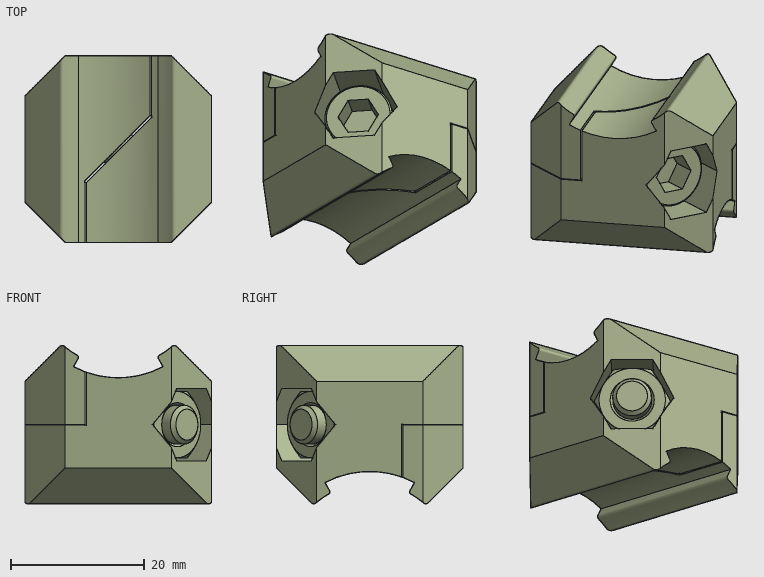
import cadquery as cq
import math

WIDTH = 28.0
HEIGHT = 23.75
HALF_WIDTH = WIDTH / 2
HALF_HEIGHT = HEIGHT / 2
CORNER_CHAMFER = 6.05

LIP_RADIUS = 12.5
GROOVE_RADIUS = 14.25
FLOOR_HEIGHT = 7.03
AXIS_HEIGHT = FLOOR_HEIGHT + GROOVE_RADIUS
LIP_ANGLE = 27.7
GROOVE_ANGLE = 28.0
LIP_FILLET = 0.4
CREST_RADIUS = 0.5

GAP = 0.35
LEDGE_GAP = 0.1
KNEE = 4.87

POCKET_FLATS = 10.85
POCKET_FLOOR = 5.32
BOLT_RADIUS = 2.9
TIP_DISTANCE = 14.55
TIP_CHAMFER = 0.6
HEAD_RADIUS = 5.1
HEAD_DISTANCE = 11.3
HEAD_CHAMFER = 0.28
SOCKET_FLATS = 5.3
SOCKET_DEPTH = 3.95
NUT_FLATS = 9.95
NUT_DISTANCE = 12.52
NUT_BORE_CHAMFER = 0.4

OVERCUT = 0.55


def hex_diameter(flats):
    """Corner-to-corner size of a hexagon given across its flats."""
    return flats / math.cos(math.pi / 6)


def on_bolt_axis(distance):
    """Plane square to the bolt axis; its normal points to the +X -Y corner."""
    reach = distance / math.sqrt(2)
    return cq.Plane(origin=(reach, -reach, 0), xDir=(1, 1, 0), normal=(1, -1, 0))


def arc_point(radius, degrees):
    """Point on a circle about the rod axis, at an angle from straight down."""
    angle = math.radians(degrees)
    return (radius * math.sin(angle), AXIS_HEIGHT - radius * math.cos(angle))


def channel_side():
    """Full-width body along Y with the channel and rounded crests of the top side."""
    crest_z = HALF_HEIGHT - CREST_RADIUS
    crest_x = math.sqrt((LIP_RADIUS + CREST_RADIUS) ** 2 - (AXIS_HEIGHT - crest_z) ** 2)
    crest_angle = math.degrees(math.asin(crest_x / (LIP_RADIUS + CREST_RADIUS)))
    flank_offset = CREST_RADIUS / math.sqrt(2)
    flank_top = (crest_x + flank_offset, crest_z + flank_offset)
    flank_foot = (HALF_WIDTH, sum(flank_top) - HALF_WIDTH)

    half_body = (
        cq.Workplane("XZ", origin=(0, HALF_WIDTH, 0))
        .moveTo(0, -HALF_HEIGHT)
        .lineTo(HALF_WIDTH, -HALF_HEIGHT)
        .lineTo(*flank_foot)
        .lineTo(*flank_top)
        .threePointArc((crest_x, HALF_HEIGHT), arc_point(LIP_RADIUS, crest_angle))
        .threePointArc(
            arc_point(LIP_RADIUS, (crest_angle + LIP_ANGLE) / 2),
            arc_point(LIP_RADIUS, LIP_ANGLE),
        )
        .lineTo(*arc_point(GROOVE_RADIUS, GROOVE_ANGLE))
        .threePointArc(arc_point(GROOVE_RADIUS, GROOVE_ANGLE / 2), (0, FLOOR_HEIGHT))
        .close()
        .extrude(WIDTH)
    )
    lip_x, lip_z = arc_point(LIP_RADIUS, LIP_ANGLE)
    lip_edge = cq.selectors.NearestToPointSelector((lip_x, 0, lip_z))
    half_body = half_body.edges(lip_edge).fillet(LIP_FILLET)
    return half_body.union(half_body.mirror("YZ"))


def swap_sides(body):
    """Half turn about the diagonal X = Y, which takes the top side underneath."""
    return body.rotate((0, 0, 0), (1, 1, 0), 180)


def clamp_block():
    """Eight-sided block with both channels, before it is parted."""
    top = channel_side()
    octagon = (
        cq.Workplane("XY").box(WIDTH, WIDTH, HEIGHT).edges("|Z").chamfer(CORNER_CHAMFER)
    )
    return octagon.intersect(top).intersect(swap_sides(top))


def upright_gap():
    """Gap above the middle plane: diagonal, with both ends turned along Y."""
    reach = HALF_WIDTH + OVERCUT
    shift = GAP / 2 / math.sqrt(2)
    path = [(-KNEE, -reach), (-KNEE, -KNEE), (KNEE, KNEE), (KNEE, reach)]
    near_side = [(x - shift, y + shift) for x, y in path]
    far_side = [(x + shift, y - shift) for x, y in reversed(path)]
    return (
        cq.Workplane("XY", origin=(0, 0, -LEDGE_GAP / 2))
        .polyline(near_side + far_side)
        .close()
        .extrude(HALF_HEIGHT + LEDGE_GAP)
    )


def ledge_gap():
    """Level gap in the two corners where the halves overlap each other."""
    size = HALF_WIDTH + OVERCUT - KNEE
    middle = KNEE + size / 2
    return (
        cq.Workplane("XY")
        .pushPoints([(middle, middle), (-middle, -middle)])
        .box(size, size, LEDGE_GAP)
    )


def clamp_half():
    """Half on the -X +Y side, with its hexagonal pocket and the bolt bore."""
    gap = upright_gap()
    parted = clamp_block().cut(gap).cut(swap_sides(gap)).cut(ledge_gap())
    half = parted.solids("<(1, -1, 0)")
    pocket = (
        cq.Workplane(on_bolt_axis(-POCKET_FLOOR))
        .polygon(6, hex_diameter(POCKET_FLATS))
        .extrude(-WIDTH)
    )
    bore = cq.Workplane(on_bolt_axis(0)).circle(BOLT_RADIUS).extrude(WIDTH, both=True)
    return half.cut(pocket).cut(bore)


def make_bolt():
    """Socket-head bolt, seated on the head-side pocket floor."""
    head = (
        cq.Workplane(on_bolt_axis(-HEAD_DISTANCE))
        .circle(HEAD_RADIUS)
        .extrude(HEAD_DISTANCE - POCKET_FLOOR)
        .faces("<(1, -1, 0)")
        .chamfer(HEAD_CHAMFER)
    )
    shank = (
        cq.Workplane(on_bolt_axis(-POCKET_FLOOR))
        .circle(BOLT_RADIUS)
        .extrude(POCKET_FLOOR + TIP_DISTANCE)
        .faces(">(1, -1, 0)")
        .chamfer(TIP_CHAMFER)
    )
    socket = (
        cq.Workplane(on_bolt_axis(-HEAD_DISTANCE))
        .polygon(6, hex_diameter(SOCKET_FLATS))
        .extrude(SOCKET_DEPTH)
    )
    return head.union(shank).cut(socket)


def make_nut():
    """Hexagon nut, seated on the opposite pocket floor."""
    height = NUT_DISTANCE - POCKET_FLOOR
    seat = on_bolt_axis(POCKET_FLOOR)
    corner_radius = hex_diameter(NUT_FLATS) / 2
    corner_chamfer = corner_radius - NUT_FLATS / 2
    turned = (
        cq.Workplane(seat)
        .circle(corner_radius)
        .extrude(height)
        .faces(">(1, -1, 0)")
        .chamfer(corner_chamfer)
    )
    bore = cq.Workplane(seat).circle(BOLT_RADIUS).extrude(height)
    bore_mouth = (
        cq.Workplane(on_bolt_axis(NUT_DISTANCE))
        .circle(BOLT_RADIUS + NUT_BORE_CHAMFER)
        .extrude(-NUT_BORE_CHAMFER, taper=45)
    )
    nut = cq.Workplane(seat).polygon(6, hex_diameter(NUT_FLATS)).extrude(height)
    return nut.intersect(turned).cut(bore).cut(bore_mouth)


halves = []
for turn in (0, 180):
    halves.append(clamp_half().rotate((0, 0, 0), (0, 0, 1), turn).val())
bolt = make_bolt()
nut = make_nut()

result = cq.Compound.makeCompound([*halves, bolt.val(), nut.val()])